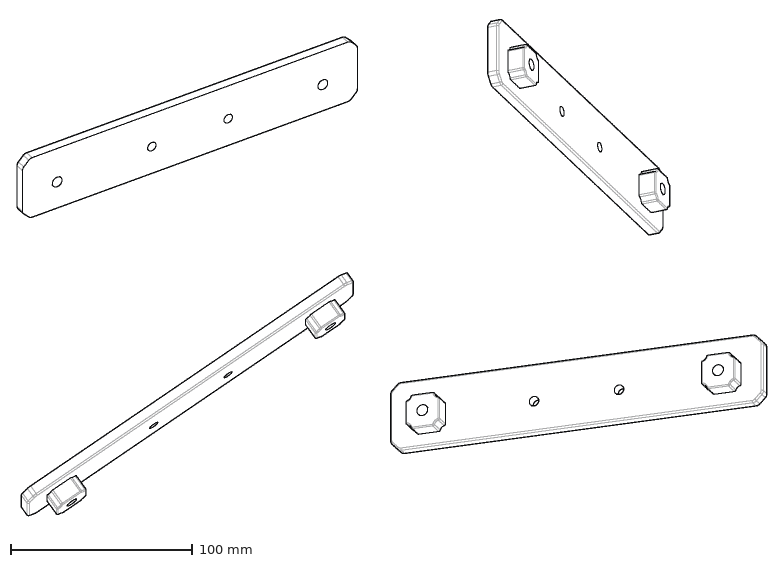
import cadquery as cq

PLATE_LENGTH = 220.0
PLATE_HEIGHT = 40.0
PLATE_THICKNESS = 6.4
PLATE_CORNER_CUT = 5.0
PLATE_CORNER_BLEND = 3.0
PLATE_RIM_RADIUS = 1.0

OVERALL_DEPTH = 16.3
POST_HEIGHT = OVERALL_DEPTH - PLATE_THICKNESS
POST_SIDE = 19.8
POST_SPACING = 174.5
POST_Z = -2.5
POST_NOTCH_RADIUS = 3.0
POST_NOTCH_BLEND = 1.0
POST_RIM_RADIUS = 0.7

POST_HOLE_DIAMETER = 6.4
PLATE_HOLE_Z = -2.0
PLATE_HOLE_DIAMETER = 5.5
PLATE_HOLE_SPACING = 50.2


def spaced_pair(spacing, z):
    """Two (y, z) points at the same height, mirrored about Y = 0."""
    return [(side * spacing / 2, z) for side in (-1, 1)]


def make_plate():
    """Plate with its front face at X = 0 and its sharp-edged back at +X."""
    return (
        cq.Workplane("YZ")
        .rect(PLATE_LENGTH, PLATE_HEIGHT)
        .extrude(PLATE_THICKNESS)
        .edges("|X")
        .chamfer(PLATE_CORNER_CUT)
        .edges("|X")
        .fillet(PLATE_CORNER_BLEND)
        .faces("<X")
        .edges()
        .fillet(PLATE_RIM_RADIUS)
    )


def make_post(y, z):
    """Post reaching from the plate's front face to the tip at -X."""
    corners = (
        cq.Workplane("YZ")
        .center(y, z)
        .rect(POST_SIDE, POST_SIDE, forConstruction=True)
        .vertices()
        .circle(POST_NOTCH_RADIUS)
        .extrude(-POST_HEIGHT)
    )
    return (
        cq.Workplane("YZ")
        .center(y, z)
        .rect(POST_SIDE, POST_SIDE)
        .extrude(-POST_HEIGHT)
        .cut(corners)
        .edges("|X")
        .fillet(POST_NOTCH_BLEND)
        .faces("<X")
        .edges()
        .fillet(POST_RIM_RADIUS)
    )


def make_holes(centres, diameter):
    """Cutters running through the full depth of the part."""
    return (
        cq.Workplane("YZ", origin=(-POST_HEIGHT, 0, 0))
        .pushPoints(centres)
        .circle(diameter / 2)
        .extrude(OVERALL_DEPTH)
    )


post_centres = spaced_pair(POST_SPACING, POST_Z)
plate_hole_centres = spaced_pair(PLATE_HOLE_SPACING, PLATE_HOLE_Z)

result = make_plate()
for post_y, post_z in post_centres:
    result = result.union(make_post(post_y, post_z))
result = result.cut(make_holes(post_centres, POST_HOLE_DIAMETER))
result = result.cut(make_holes(plate_hole_centres, PLATE_HOLE_DIAMETER))